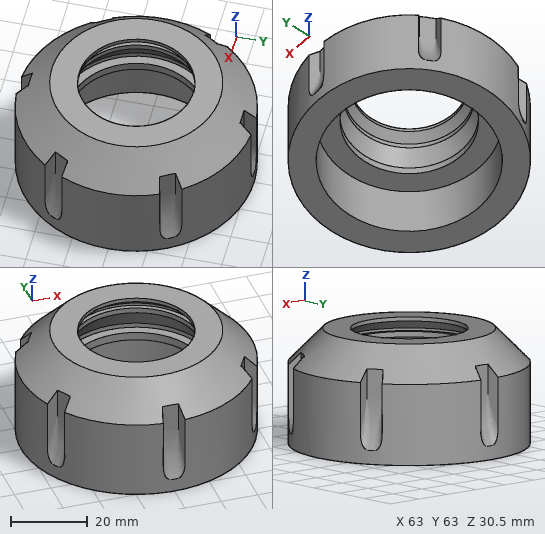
import cadquery as cq
import math

outer_radius = 31.5
height = 30.5
top_bevel = 9.0

mouth_radius = 15.25
mouth_depth = 1.1
upper_groove_radius = 18.3
upper_cone_depth = 3.45
upper_ledge_depth = 4.15
collar_radius = 16.95
collar_depth = 5.6
lower_groove_radius = 20.55
lower_cone_depth = 11.15
lower_ledge_depth = 12.4
lip_radius = 18.0
lip_depth = 14.7
thread_radius = 24.2

slot_count = 6
slot_floor_radius = 28.3
slot_floor_half_width = 2.2
slot_wall_angle = 14.3
runout_top = 16.7
runout_bottom = 3.7
end_corner_radius = 2.85
start_corner_radius = 0.05
cutter_reach = 3.8
runout_overshoot = 0.04
runout_steps = 6

runout_length = runout_top - runout_bottom
runout_depth = outer_radius - slot_floor_radius
runout_arc_radius = (runout_length**2 + runout_depth**2) / (2 * runout_depth)
wall_slope = math.tan(math.radians(slot_wall_angle))
cutter_outer_radius = outer_radius + cutter_reach


def slot_half_width(radius):
    return slot_floor_half_width + (radius - slot_floor_radius) * wall_slope


def make_body():
    return cq.Workplane("XY").circle(outer_radius).extrude(height).faces(">Z").chamfer(top_bevel)


def make_bore():
    """Revolved cavity with two undercut grooves above the thread bore."""
    steps = [
        (mouth_radius, 0),
        (mouth_radius, mouth_depth),
        (upper_groove_radius, upper_cone_depth),
        (upper_groove_radius, upper_ledge_depth),
        (collar_radius, upper_ledge_depth),
        (collar_radius, collar_depth),
        (lower_groove_radius, lower_cone_depth),
        (lower_groove_radius, lower_ledge_depth),
        (lip_radius, lower_ledge_depth),
        (lip_radius, lip_depth),
        (thread_radius, lip_depth),
        (thread_radius, height),
    ]
    profile = [(0, height)] + [(radius, height - depth) for radius, depth in steps] + [(0, 0)]
    return cq.Workplane("XZ").polyline(profile).close().revolve(360, (0, 0, 0), (0, 1, 0))


def make_straight_slot():
    """Sharp-cornered slot with a flat vertical floor, open at the top."""
    floor = slot_floor_half_width
    mouth = slot_half_width(cutter_outer_radius)
    outline = [
        (-floor, -slot_floor_radius),
        (floor, -slot_floor_radius),
        (mouth, -cutter_outer_radius),
        (-mouth, -cutter_outer_radius),
    ]
    return (
        cq.Workplane("XY").workplane(offset=runout_top)
        .polyline(outline).close().extrude(height - runout_top)
    )


def runout_section(fraction):
    """Slot outline at a fraction of the way down the runout, with rounded floor corners."""
    drop = fraction * runout_length
    floor_radius = slot_floor_radius + runout_arc_radius - math.sqrt(runout_arc_radius**2 - drop**2)
    growth = fraction * (1.5 - 0.5 * fraction)
    corner = start_corner_radius + (end_corner_radius - start_corner_radius) * growth
    lean = math.radians(slot_wall_angle)
    turn = math.pi / 2 - lean
    flat = slot_half_width(floor_radius) - corner * math.tan(turn / 2)
    center_y = -floor_radius - corner

    def corner_point(angle):
        return flat + corner * math.sin(angle), center_y + corner * math.cos(angle)

    middle_x, middle_y = corner_point(turn / 2)
    wall_x, wall_y = corner_point(turn)
    mouth = slot_half_width(cutter_outer_radius)
    return (
        cq.Workplane("XY").workplane(offset=runout_top - drop)
        .moveTo(-flat, -floor_radius)
        .lineTo(flat, -floor_radius)
        .threePointArc((middle_x, middle_y), (wall_x, wall_y))
        .lineTo(mouth, -cutter_outer_radius)
        .lineTo(-mouth, -cutter_outer_radius)
        .lineTo(-wall_x, wall_y)
        .threePointArc((-middle_x, middle_y), (-flat, -floor_radius))
        .close().val()
    )


def make_runout():
    """Lower slot end whose floor curves out to the outer wall."""
    end = 1 + runout_overshoot
    sections = [runout_section(end * step / runout_steps) for step in range(runout_steps + 1)]
    return cq.Workplane(cq.Solid.makeLoft(sections))


result = make_body().cut(make_bore())
straight_slot = make_straight_slot()
runout = make_runout()
for index in range(slot_count):
    angle = index * 360 / slot_count
    for cutter in (straight_slot, runout):
        result = result.cut(cutter.rotate((0, 0, 0), (0, 0, 1), angle))